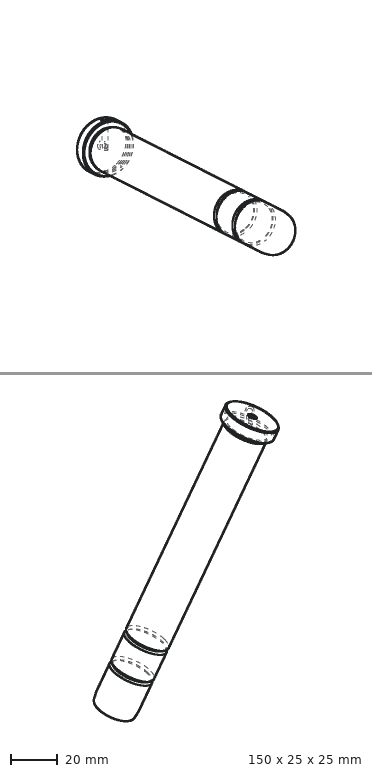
import cadquery as cq

total_length = 150.0
head_diameter = 25.0
head_length = 6.0
head_chamfer = 0.5
shaft_diameter = 20.1

relief_length = 1.6
relief_depth = 0.5
relief_ramp = 0.5

groove_positions = (114.0, 129.8)
groove_depth = 1.0
groove_width = 2 * groove_depth

lead_start = 145.2
lead_end_radius = 9.5
lead_blend_radius = 4.5
tip_rounding = 2.0

port_diameter = 2.5
port_mouth_diameter = 4.0
port_countersink_depth = 0.8

head_radius = head_diameter / 2
shaft_radius = shaft_diameter / 2
relief_radius = shaft_radius - relief_depth
face_port_depth = head_length / 2
rim_port_depth = head_radius + port_diameter / 2
relief_end = head_length + relief_length


def make_pin():
    """Revolve the half profile of head, relief, shaft and tip about X."""
    profile = (
        cq.Workplane("XY")
        .moveTo(0, 0)
        .lineTo(0, head_radius - head_chamfer)
        .lineTo(head_chamfer, head_radius)
        .lineTo(head_length - head_chamfer, head_radius)
        .lineTo(head_length, head_radius - head_chamfer)
        .lineTo(head_length, relief_radius)
        .lineTo(relief_end - relief_ramp, relief_radius)
        .lineTo(relief_end, shaft_radius)
        .lineTo(lead_start, shaft_radius)
        .lineTo(total_length, lead_end_radius)
        .lineTo(total_length, 0)
        .close()
    )
    pin = profile.revolve(360, (0, 0, 0), (1, 0, 0))
    pin = pin.faces(">X").edges().fillet(tip_rounding)
    lead_edge = cq.selectors.BoxSelector(
        (lead_start - lead_blend_radius, -shaft_radius, -shaft_radius),
        (lead_start + tip_rounding, shaft_radius, shaft_radius),
    )
    return pin.edges("%CIRCLE").edges(lead_edge).fillet(lead_blend_radius)


def make_ring_groove(position):
    """Ring that cuts a V groove into the shaft surface."""
    section = (
        cq.Workplane("XY")
        .moveTo(position - groove_width / 2, shaft_radius)
        .lineTo(position, shaft_radius - groove_depth)
        .lineTo(position + groove_width / 2, shaft_radius)
        .close()
    )
    return section.revolve(360, (0, 0, 0), (1, 0, 0))


def make_port(mouth, direction, depth):
    """Countersunk blind hole with a flat bottom."""
    mouth_radius = port_mouth_diameter / 2
    port_radius = port_diameter / 2
    start = cq.Vector(*mouth)
    axis = cq.Vector(*direction)
    drill = cq.Solid.makeCylinder(port_radius, depth, start, axis)
    countersink = cq.Solid.makeCone(mouth_radius, port_radius, port_countersink_depth, start, axis)
    return cq.Workplane("XY").add(drill.fuse(countersink))


result = make_pin()
for groove_position in groove_positions:
    result = result.cut(make_ring_groove(groove_position))
result = result.cut(make_port((0, 0, 0), (1, 0, 0), face_port_depth))
result = result.cut(make_port((face_port_depth, 0, head_radius), (0, 0, -1), rim_port_depth))